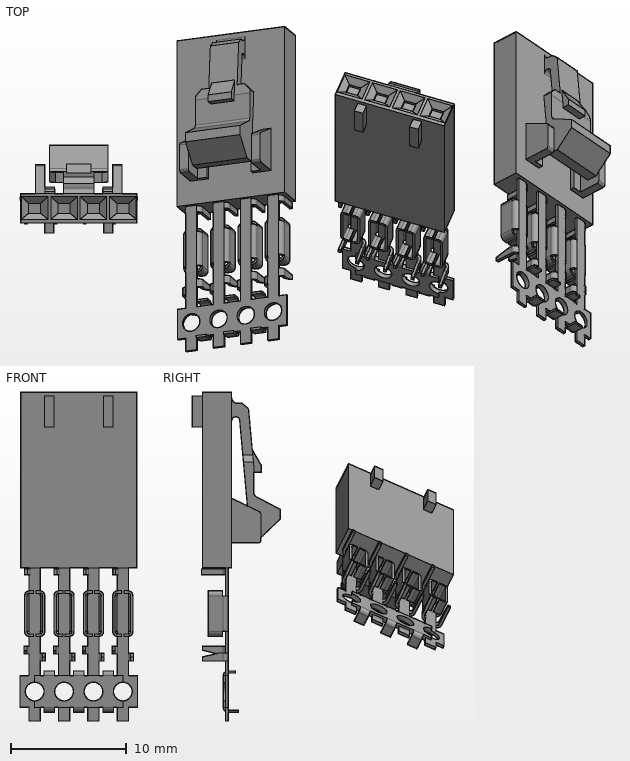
import cadquery as cq
import math


overall_depth = 7.62
overall_height = 28.45
embed = 0.1
diagonal = math.sqrt(0.5)

contact_count = 4
pitch = 2.54
contact_centers = [(i - (contact_count - 1) / 2) * pitch for i in range(contact_count)]

housing_width = 10.04
housing_depth = 2.54
housing_height = 15.2

funnel_width = 2.29
funnel_depth_y = 1.98
throat_width = 1.05
throat_depth_y = 0.87
throat_center_y = housing_depth / 2
funnel_center_y = 1.31
funnel_height = 0.4
throat_height = 0.25

rib_width = 0.8
rib_projection = 0.88
rib_bottom = 12.17
rib_top = 14.87

latch_reach = overall_depth - rib_projection
arm_width = 2.64
hook_width = 2 * pitch
shoulder_width = 3.98
shoulder_z = 9.76
shoulder_drop = 0.6
arm_top_z = 14.24
root_radius = 0.5
elbow_start_y = 3.44
elbow_end_y = 4.0
elbow_end_z = 13.76
arm_outer_y = 4.45
arm_vertical_z = 8.8
arm_inner_top = (3.21, 12.82)
arm_inner_bottom_y = 4.13
inner_bend_crown = (2.92, 13.06)
inner_bend_root_z = 12.7
hook_bend_start_z = 6.5
hook_bend_middle = (4.52, 6.3)
hook_bend_end = (4.7, 6.14)
hook_nose_top = 5.07
hook_nose_bottom = 4.22
hook_heel_y = 5.08
hook_bottom_z = 2.64

tooth_width = 2.16
tooth_reach = 5.1
tooth_bottom = 8.26
tooth_crest = 8.88
tooth_top = 10.6
tooth_root_y = 4.1

cheek_width = 0.82
cheek_center_x = 3.34
cheek_reach = 5.06
cheek_bottom = 2.16
cheek_front_top = 4.8
cheek_root_top = 6.03
cheek_round = 0.22
foot_width = 0.86
foot_reach = 2.95
foot_crown_y = 2.74
foot_top = 5.6
foot_chamfer = 0.2

sheet = 0.25
strip_back = 2.25
strip_front = strip_back - sheet
strip_width = 1.0
contact_drop = overall_height - housing_height
strip_embed = 1.0
bend_radius = 0.46

guide_reach_x = 0.88
guide_tip_y = -0.08
guide_top = -0.07
guide_bottom = -0.6
prong_reach_x = 0.93
prong_tip_y = 0.0
prong_taper_y = 1.34
prong_height = 0.7
prong_tip_height = 0.37
left_prong_top = -6.75
right_prong_bottom = -8.06

box_width = 1.76
box_top = -1.97
box_bottom = -5.93
box_front = 0.5
box_back = 1.75
box_corner = 0.44
box_sheet = 0.22
seam = 0.2

carrier_width = contact_count * pitch
carrier_top = -9.31
carrier_bottom = -12.06
carrier_center_z = (carrier_top + carrier_bottom) / 2
pilot_diameter = 1.6
band_sheet = 0.2
band_front = strip_front - band_sheet
tab_width = 0.93
tab_rise = 0.42
tab_radius = 0.42
upper_tab_reach = 2.85
lower_tab_reach = 3.12


def block(x0, x1, y0, y1, z0, z1):
    """Axis-aligned box between two corners."""
    return cq.Workplane("XY").box(x1 - x0, y1 - y0, z1 - z0, centered=False).translate((x0, y0, z0))


def centered_block(center_x, width, y0, y1, z0, z1):
    return block(center_x - width / 2, center_x + width / 2, y0, y1, z0, z1)


def side_profile(center_x, width):
    """Sketch plane in Y-Z, placed so that extruding by `width` is centred on `center_x`."""
    return cq.Workplane("YZ", origin=(center_x - width / 2, 0, 0))


def make_housing():
    body = centered_block(0, housing_width, 0, housing_depth, 0, housing_height)
    for x in contact_centers:
        throat_top = housing_height - funnel_height
        throat = (
            cq.Workplane("XY", origin=(x, throat_center_y, throat_top - throat_height))
            .rect(throat_width, throat_depth_y)
            .extrude(throat_height)
        )
        funnel = (
            cq.Workplane("XY", origin=(x, throat_center_y, throat_top))
            .rect(throat_width, throat_depth_y)
            .workplane(offset=funnel_height)
            .center(0, funnel_center_y - throat_center_y)
            .rect(funnel_width, funnel_depth_y)
            .loft(ruled=True)
        )
        body = body.cut(throat).cut(funnel)
    for x in (-pitch, pitch):
        body = body.union(centered_block(x, rib_width, -rib_projection, embed, rib_bottom, rib_top))
    return body


def make_arm_relief(side):
    """Clearance beside the narrow upper arm, ending at a bevelled shoulder."""
    return (
        cq.Workplane("XZ")
        .moveTo(side * arm_width / 2, housing_height)
        .lineTo(side * arm_width / 2, shoulder_z)
        .lineTo(side * shoulder_width / 2, shoulder_z)
        .lineTo(side * hook_width / 2, shoulder_z - shoulder_drop)
        .lineTo(side * housing_width / 2, shoulder_z - shoulder_drop)
        .lineTo(side * housing_width / 2, housing_height)
        .close()
        .extrude(-latch_reach)
    )


def make_latch():
    arc_mid = root_radius * (1 - diagonal)
    arm = (
        side_profile(0, hook_width)
        .moveTo(housing_depth - embed, arm_top_z + root_radius)
        .lineTo(housing_depth, arm_top_z + root_radius)
        .threePointArc(
            (housing_depth + arc_mid, arm_top_z + arc_mid),
            (housing_depth + root_radius, arm_top_z),
        )
        .lineTo(elbow_start_y, arm_top_z)
        .lineTo(elbow_end_y, elbow_end_z)
        .lineTo(arm_outer_y, arm_vertical_z)
        .lineTo(arm_outer_y, hook_bend_start_z)
        .threePointArc(hook_bend_middle, hook_bend_end)
        .lineTo(latch_reach, hook_nose_top)
        .lineTo(latch_reach, hook_nose_bottom)
        .lineTo(hook_heel_y, hook_bottom_z)
        .lineTo(arm_inner_bottom_y, hook_bottom_z)
        .lineTo(*arm_inner_top)
        .threePointArc(inner_bend_crown, (housing_depth, inner_bend_root_z))
        .lineTo(housing_depth - embed, inner_bend_root_z)
        .close()
        .extrude(hook_width)
    )
    for side in (-1, 1):
        arm = arm.cut(make_arm_relief(side))
    tooth = (
        side_profile(0, tooth_width)
        .moveTo(tooth_root_y, tooth_top)
        .lineTo(tooth_reach, tooth_crest)
        .lineTo(tooth_reach, tooth_bottom)
        .lineTo(tooth_root_y, tooth_bottom)
        .close()
        .extrude(tooth_width)
    )
    return arm.union(tooth)


def make_cheek(side):
    """Guard beside the hook with a small foot on its inner face; side is -1 or +1."""
    cheek = (
        side_profile(side * cheek_center_x, cheek_width)
        .moveTo(housing_depth - embed, cheek_bottom)
        .lineTo(cheek_reach, cheek_bottom)
        .lineTo(cheek_reach, cheek_front_top)
        .lineTo(housing_depth, cheek_root_top)
        .lineTo(housing_depth - embed, cheek_root_top)
        .close()
        .extrude(cheek_width)
        .edges("|X and >Y")
        .fillet(cheek_round)
    )
    foot_center_x = side * (cheek_center_x - cheek_width / 2 - foot_width / 2)
    foot = (
        side_profile(foot_center_x, foot_width)
        .moveTo(housing_depth - embed, cheek_bottom)
        .lineTo(foot_reach, cheek_bottom)
        .lineTo(foot_reach, foot_top - foot_chamfer)
        .lineTo(foot_crown_y, foot_top)
        .lineTo(housing_depth - embed, foot_top)
        .close()
        .extrude(foot_width)
    )
    return cheek.union(foot)


def make_wing(side, reach_x, tip_y, bottom, top, metal):
    """Sheet bent from the strip towards the front, as seen along Z."""
    inner_radius = bend_radius - metal
    bend_x = reach_x - bend_radius
    bend_y = strip_back - bend_radius
    return (
        cq.Workplane("XY", origin=(0, 0, bottom))
        .moveTo(0, strip_back)
        .lineTo(side * bend_x, strip_back)
        .threePointArc(
            (side * (bend_x + bend_radius * diagonal), bend_y + bend_radius * diagonal),
            (side * reach_x, bend_y),
        )
        .lineTo(side * reach_x, tip_y)
        .lineTo(side * (reach_x - metal), tip_y)
        .lineTo(side * (reach_x - metal), bend_y)
        .threePointArc(
            (side * (bend_x + inner_radius * diagonal), bend_y + inner_radius * diagonal),
            (side * bend_x, strip_back - metal),
        )
        .lineTo(0, strip_back - metal)
        .close()
        .extrude(top - bottom)
    )


def make_prong(side, straight_z, direction):
    """Wing whose edge at straight_z stays level; the other edge tapers to the tip."""
    far_z = straight_z + direction * prong_height
    tip_z = straight_z + direction * prong_tip_height
    wing = make_wing(side, prong_reach_x, prong_tip_y, min(straight_z, far_z), max(straight_z, far_z), sheet)
    taper = (
        side_profile(0, 2 * pitch)
        .polyline([(prong_taper_y, far_z), (prong_tip_y, tip_z), (prong_tip_y, far_z)])
        .close()
        .extrude(2 * pitch)
    )
    return wing.cut(taper)


def make_crimp_box():
    """Rounded frame open to the front, split top and bottom, on two wings of the strip."""
    frame = (
        centered_block(0, box_width, box_front, box_back, box_bottom, box_top)
        .edges("|Y")
        .fillet(box_corner)
    )
    opening = (
        centered_block(
            0, box_width - 2 * box_sheet, box_front, box_back, box_bottom + box_sheet, box_top - box_sheet
        )
        .edges("|Y")
        .fillet(box_corner - box_sheet)
    )
    frame = frame.cut(opening)
    frame = frame.cut(centered_block(0, seam, box_front, box_back, box_bottom, box_top))
    wing_bottom = box_bottom + box_corner
    wing_top = box_top - box_corner
    for side in (-1, 1):
        frame = frame.union(make_wing(side, box_width / 2, box_front, wing_bottom, wing_top, box_sheet))
    return frame


def make_contact():
    contact = centered_block(0, strip_width, strip_front, strip_back, -contact_drop, strip_embed)
    contact = contact.union(make_wing(-1, guide_reach_x, guide_tip_y, guide_bottom, guide_top, sheet))
    contact = contact.union(make_prong(-1, left_prong_top, -1))
    contact = contact.union(make_prong(1, right_prong_bottom, 1))
    return contact.union(make_crimp_box())


def make_tab(center_x, edge_z, direction, reach_y):
    """Tab of the cover band folded over the carrier edge towards the back."""
    outer_z = edge_z + direction * tab_rise
    axis_y = band_front + tab_radius
    axis_z = outer_z - direction * tab_radius
    inner_radius = tab_radius - band_sheet
    return (
        side_profile(center_x, tab_width)
        .moveTo(band_front, carrier_center_z)
        .lineTo(band_front, axis_z)
        .threePointArc(
            (axis_y - tab_radius * diagonal, axis_z + direction * tab_radius * diagonal),
            (axis_y, outer_z),
        )
        .lineTo(reach_y, outer_z)
        .lineTo(reach_y, outer_z - direction * band_sheet)
        .lineTo(axis_y, outer_z - direction * band_sheet)
        .threePointArc(
            (axis_y - inner_radius * diagonal, axis_z + direction * inner_radius * diagonal),
            (strip_front, axis_z),
        )
        .lineTo(strip_front, carrier_center_z)
        .close()
        .extrude(tab_width)
    )


def make_carrier():
    band_width = contact_centers[-1] - contact_centers[0]
    carrier = centered_block(0, carrier_width, strip_front, strip_back, carrier_bottom, carrier_top)
    band = centered_block(0, band_width, band_front, strip_front, carrier_bottom, carrier_top)
    carrier = carrier.union(band)
    for left, right in zip(contact_centers, contact_centers[1:]):
        middle = (left + right) / 2
        carrier = carrier.union(make_tab(middle, carrier_top, 1, upper_tab_reach))
        carrier = carrier.union(make_tab(middle, carrier_bottom, -1, lower_tab_reach))
    return carrier


def make_pilot_holes():
    return (
        cq.Workplane("XZ")
        .pushPoints([(x, carrier_center_z) for x in contact_centers])
        .circle(pilot_diameter / 2)
        .extrude(-2 * strip_back)
    )


part = make_housing().union(make_latch())
for cheek_side in (-1, 1):
    part = part.union(make_cheek(cheek_side))
contact_template = make_contact()
for contact_x in contact_centers:
    part = part.union(contact_template.translate((contact_x, 0, 0)))
result = part.union(make_carrier()).cut(make_pilot_holes())